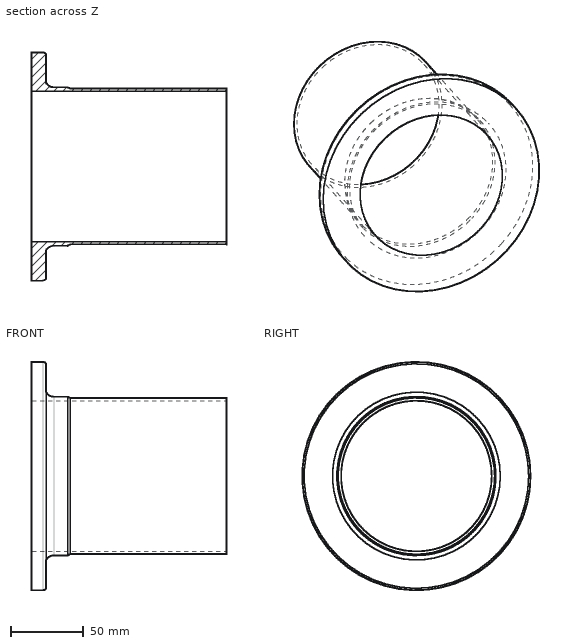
import cadquery as cq

total_length = 135.0
bore_radius = 104.0 / 2
tube_radius = 108.0 / 2

flange_radius = 158 / 2
flange_thickness = 10.3
rim_round_length = 2.4
rim_round_depth = 1.5

collar_radius = 110.0 / 2
collar_end = 26.9
collar_bevel_length = 1.9

neck_length = 5.0
neck_rise = 3.0
neck_end = flange_thickness + neck_length


def tangent_arc_radius(length, depth):
    """Radius of an arc that starts along the axis and drops by depth over length."""
    return (length**2 + depth**2) / (2 * depth)


rim_arc_radius = tangent_arc_radius(rim_round_length, rim_round_depth)
neck_arc_radius = tangent_arc_radius(neck_length, neck_rise)

half_section = (
    cq.Workplane("XY")
    .moveTo(0, bore_radius)
    .lineTo(0, flange_radius)
    .lineTo(flange_thickness - rim_round_length, flange_radius)
    .radiusArc((flange_thickness, flange_radius - rim_round_depth), rim_arc_radius)
    .lineTo(flange_thickness, collar_radius + neck_rise)
    .radiusArc((neck_end, collar_radius), -neck_arc_radius)
    .lineTo(collar_end - collar_bevel_length, collar_radius)
    .lineTo(collar_end, tube_radius)
    .lineTo(total_length, tube_radius)
    .lineTo(total_length, bore_radius)
    .close()
)

result = half_section.revolve(360, (0, 0, 0), (1, 0, 0))